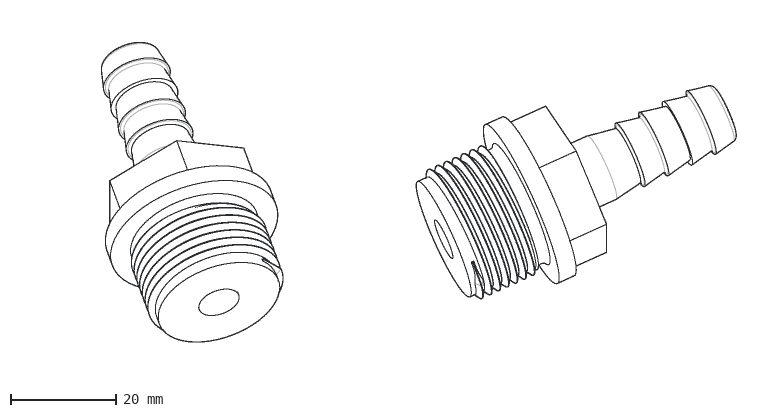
import cadquery as cq
import math


HOSE_END = 31.35
HEX_LENGTH = 8.0
FLANGE_WIDTH = 3.6
TOTAL_LENGTH = 59.3
HEX_END = HOSE_END + HEX_LENGTH
FLANGE_END = HEX_END + FLANGE_WIDTH

BORE_RADIUS = 4.0
STEM_RADIUS = 6.65
BARB_ROOT_RADIUS = 5.65
BARB_PITCH = 5.0
BARB_COUNT = 4
SHARP_BARB = 2
BARB_FILLET = 0.5
RUN_OUT_LENGTH = 6.0
TIP_FILLET = 1.0

HEX_ACROSS_FLATS = 26.6
FLANGE_RADIUS = 16.6

GROOVE_EDGE_RADIUS = 12.64
GROOVE_FLOOR_RADIUS = 11.9
GROOVE_WIDTH = 2.45
LIP_LENGTH = 0.4

THREAD_PITCH = 1.814
THREAD_CREST_RADIUS = 13.28
THREAD_CORE_RADIUS = 12.06
THREAD_BASE_WIDTH = 1.74
THREAD_CREST_WIDTH = 0.14
THREAD_EMBED = 0.3
THREAD_TURNS = 7.5
THREAD_END_X = 57.5
THREAD_END_ANGLE = 15.0
TAIL_TIP_ANGLE = 41.0
TAIL_TIP_RADIUS = 12.4
TAIL_TIP_WIDTH = 0.5
THREAD_START_X = FLANGE_END + GROOVE_WIDTH


def revolve_about_x(outline):
    return outline.close().revolve(360, (0, 0, 0), (1, 0, 0))


def cone_section(start_x, length):
    """One solid cone widening from the barb root to the stem radius."""
    return revolve_about_x(
        cq.Workplane("XY")
        .moveTo(start_x, 0)
        .lineTo(start_x, BARB_ROOT_RADIUS)
        .lineTo(start_x + length, STEM_RADIUS)
        .lineTo(start_x + length, 0)
    )


def barb_root_fillet(wall_x):
    """Concave ring that blends a barb's back face into the next cone."""
    buried_radius = BARB_ROOT_RADIUS - BARB_FILLET
    cone_slope = (STEM_RADIUS - BARB_ROOT_RADIUS) / BARB_PITCH
    floor_radius = BARB_ROOT_RADIUS + BARB_FILLET * cone_slope
    centre = (wall_x + BARB_FILLET, floor_radius + BARB_FILLET)
    diagonal = BARB_FILLET * math.sqrt(0.5)
    return revolve_about_x(
        cq.Workplane("XY")
        .moveTo(wall_x, buried_radius)
        .lineTo(wall_x, centre[1])
        .threePointArc((centre[0] - diagonal, centre[1] - diagonal), (centre[0], floor_radius))
        .lineTo(centre[0], buried_radius)
    )


def make_stem():
    stem = cone_section(0, BARB_PITCH).faces("<X").edges().fillet(TIP_FILLET)
    for barb in range(1, BARB_COUNT + 1):
        wall_x = barb * BARB_PITCH
        length = RUN_OUT_LENGTH if barb == BARB_COUNT else BARB_PITCH
        stem = stem.union(cone_section(wall_x, length))
        if barb != SHARP_BARB:
            stem = stem.union(barb_root_fillet(wall_x))
    run_out_end = BARB_COUNT * BARB_PITCH + RUN_OUT_LENGTH
    plain_stem = (
        cq.Workplane("YZ", origin=(run_out_end, 0, 0))
        .circle(STEM_RADIUS)
        .extrude(HOSE_END - run_out_end)
    )
    return stem.union(plain_stem)


def make_hex_and_flange():
    across_corners = HEX_ACROSS_FLATS / math.cos(math.radians(30))
    hexagon = (
        cq.Workplane("YZ", origin=(HOSE_END, 0, 0))
        .transformed(rotate=(0, 0, 90))
        .polygon(6, across_corners)
        .extrude(HEX_LENGTH)
    )
    flange = cq.Workplane("YZ", origin=(HEX_END, 0, 0)).circle(FLANGE_RADIUS).extrude(FLANGE_WIDTH)
    return hexagon.union(flange)


def make_threaded_core():
    return revolve_about_x(
        cq.Workplane("XY")
        .moveTo(FLANGE_END, 0)
        .lineTo(FLANGE_END, GROOVE_EDGE_RADIUS)
        .threePointArc(
            (FLANGE_END + GROOVE_WIDTH / 2, GROOVE_FLOOR_RADIUS),
            (THREAD_START_X, GROOVE_EDGE_RADIUS),
        )
        .lineTo(THREAD_START_X + LIP_LENGTH, THREAD_CORE_RADIUS)
        .lineTo(TOTAL_LENGTH, THREAD_CORE_RADIUS)
        .lineTo(TOTAL_LENGTH, 0)
    )


def radial_plane(x, degrees):
    """Plane through the axis; its local X points outward, its local Y along the axis."""
    angle = math.radians(degrees)
    return cq.Plane(
        origin=(x, 0, 0),
        xDir=(0, math.cos(angle), math.sin(angle)),
        normal=(0, -math.sin(angle), math.cos(angle)),
    )


def ridge_outline(workplane, crest_radius, base_width):
    """Cross-section of the thread ridge, with local X as the radius."""
    buried_radius = THREAD_CORE_RADIUS - THREAD_EMBED
    half_base = base_width / 2
    half_crest = THREAD_CREST_WIDTH / 2
    return (
        workplane
        .moveTo(buried_radius, -half_base)
        .lineTo(THREAD_CORE_RADIUS, -half_base)
        .lineTo(crest_radius, -half_crest)
        .lineTo(crest_radius, half_crest)
        .lineTo(THREAD_CORE_RADIUS, half_base)
        .lineTo(buried_radius, half_base)
        .close()
    )


def make_thread():
    """Helical ridge, cut square where it meets the relief groove."""
    length = THREAD_TURNS * THREAD_PITCH
    helix = cq.Wire.makeHelix(THREAD_PITCH, length, THREAD_CORE_RADIUS)
    ridge = ridge_outline(cq.Workplane("XZ"), THREAD_CREST_RADIUS, THREAD_BASE_WIDTH)
    ridge = ridge.sweep(cq.Workplane(helix), isFrenet=True)
    start_angle = THREAD_END_ANGLE - 360 * THREAD_TURNS
    ridge = ridge.rotate((0, 0, 0), (0, 0, 1), 90).rotate((0, 0, 0), (0, 1, 0), 90)
    ridge = ridge.rotate((0, 0, 0), (1, 0, 0), start_angle)
    ridge = ridge.translate((THREAD_END_X - length, 0, 0))
    envelope = (
        cq.Workplane("YZ", origin=(THREAD_START_X, 0, 0))
        .circle(FLANGE_RADIUS)
        .extrude(TOTAL_LENGTH - THREAD_START_X)
    )
    return ridge.intersect(envelope)


def make_thread_tail():
    """Straight taper that carries the end of the ridge down towards the core."""
    tip_x = THREAD_END_X + THREAD_PITCH * (TAIL_TIP_ANGLE - THREAD_END_ANGLE) / 360
    full_section = ridge_outline(
        cq.Workplane(radial_plane(THREAD_END_X, THREAD_END_ANGLE)),
        THREAD_CREST_RADIUS,
        THREAD_BASE_WIDTH,
    )
    tip_section = ridge_outline(
        cq.Workplane(radial_plane(tip_x, TAIL_TIP_ANGLE)),
        TAIL_TIP_RADIUS,
        TAIL_TIP_WIDTH,
    )
    sections = [full_section.wire().val(), tip_section.wire().val()]
    return cq.Workplane(cq.Solid.makeLoft(sections, True))


def make_bore():
    return cq.Workplane("YZ").circle(BORE_RADIUS).extrude(TOTAL_LENGTH)


body = make_stem().union(make_hex_and_flange()).union(make_threaded_core())
result = body.union(make_thread()).union(make_thread_tail()).cut(make_bore())